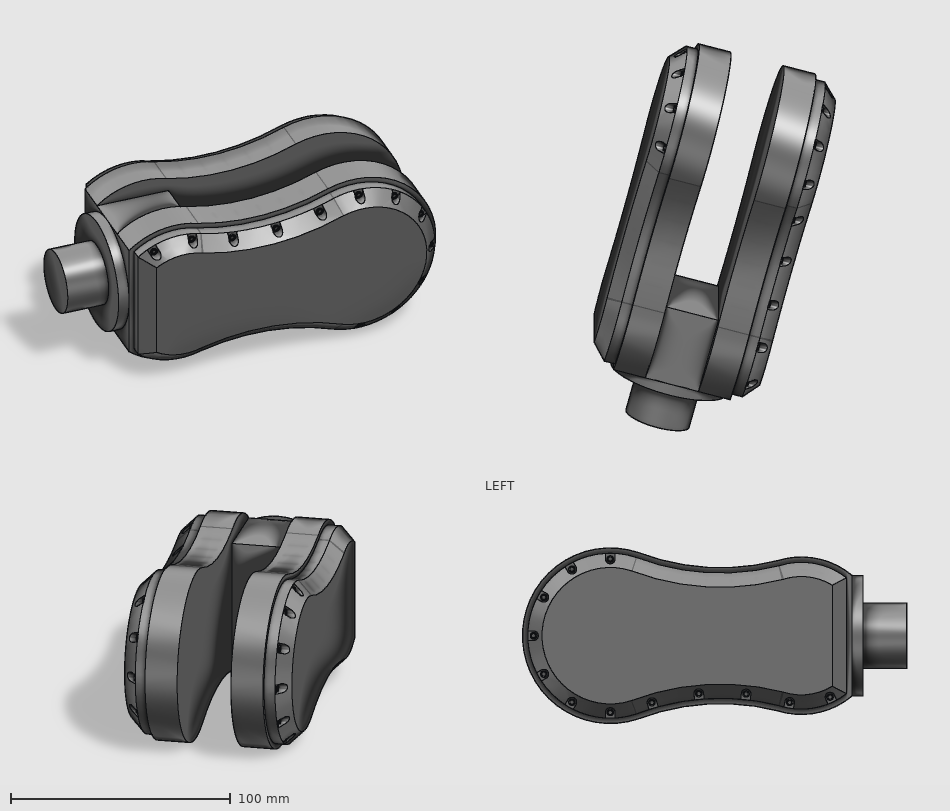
import cadquery as cq
import math

total_length = 175.0
total_width = 78.0
head_diameter = 80.0

body_width = 55.0
fork_gap = 25.0
web_length = 35.0
flange_diameter = body_width
flange_thickness = 5.0
shaft_diameter = 30.0
shaft_length = 20.0

lobe_radius = 35.9
lobe_center = 87.0
head_join = 12.8
lobe_join = 76.1
waist_middle = 50.0
waist_half_height = 31.0

cover_inset = 2.5
cover_wall = 5.0

screw_inset = 5.0
screw_head_diameter = 3.0
screw_head_height = 0.9
socket_diameter = 2.0
socket_depth = 0.5
pocket_reach = 2 * screw_inset
pocket_width = 4.4
head_screw_angles = [90, 120, 150, 180, 210, 240, 270]
waist_screw_angles = [-16.5, -5.2, 6]
lobe_screw_angles = [-10, 25]

head_radius = head_diameter / 2
tip = total_length - head_radius
flange_face = tip - shaft_length
body_end = flange_face - flange_thickness

cheek_face = body_width / 2
rim_level = cheek_face + cover_wall
cover_chamfer = total_width / 2 - rim_level


def circle_height(radius, offset):
    """Height of a circle above its centre line at an offset from its centre."""
    return math.sqrt(radius**2 - offset**2)


def circle_through(a, b, c):
    """Centre and radius of the circle through three points."""
    bx, by = b[0] - a[0], b[1] - a[1]
    cx, cy = c[0] - a[0], c[1] - a[1]
    spread = 2 * (bx * cy - by * cx)
    ux = (cy * (bx**2 + by**2) - by * (cx**2 + cy**2)) / spread
    uy = (bx * (cx**2 + cy**2) - cx * (bx**2 + by**2)) / spread
    return (a[0] + ux, a[1] + uy), math.hypot(ux, uy)


head_joint = (head_join, circle_height(head_radius, head_join))
waist_point = (waist_middle, waist_half_height)
lobe_joint = (lobe_join, circle_height(lobe_radius, lobe_center - lobe_join))
lobe_top = (lobe_center, lobe_radius)
end_corner = (body_end, circle_height(lobe_radius, body_end - lobe_center))
waist_center, waist_radius = circle_through(head_joint, waist_point, lobe_joint)


def cheek_outline(offset_x):
    """Closed cheek outline on a plane facing +X; it runs along -Y from the head centre."""

    def at(point, side=1):
        return (-point[0], side * point[1])

    return (
        cq.Workplane("YZ", origin=(offset_x, 0, 0))
        .moveTo(*at(end_corner))
        .threePointArc(at(lobe_top), at(lobe_joint))
        .threePointArc(at(waist_point), at(head_joint))
        .threePointArc((head_radius, 0), at(head_joint, -1))
        .threePointArc(at(waist_point, -1), at(lobe_joint, -1))
        .threePointArc(at(lobe_top, -1), at(end_corner, -1))
        .close()
    )


def make_fork():
    cheek_thickness = (body_width - fork_gap) / 2
    left_cheek = cheek_outline(-cheek_face).extrude(cheek_thickness)
    right_cheek = cheek_outline(fork_gap / 2).extrude(cheek_thickness)
    web = cq.Workplane("XY").box(fork_gap, web_length, body_width)
    web = web.translate((0, web_length / 2 - body_end, 0))
    flange = (
        cq.Workplane("XZ", origin=(0, -body_end, 0))
        .circle(flange_diameter / 2)
        .extrude(flange_thickness)
    )
    shaft = (
        cq.Workplane("XZ", origin=(0, -flange_face, 0))
        .circle(shaft_diameter / 2)
        .extrude(shaft_length)
    )
    return left_cheek.union(right_cheek).union(web).union(flange).union(shaft)


def screw_places():
    """(distance from head centre, height, direction of the outward normal) of each screw."""
    places = []
    for angle in head_screw_angles:
        radius = head_radius - screw_inset
        turn = math.radians(angle)
        places.append((radius * math.cos(turn), radius * math.sin(turn), angle))
    for angle in waist_screw_angles:
        radius = waist_radius + screw_inset
        turn = math.radians(angle)
        distance = waist_center[0] + radius * math.sin(turn)
        places.append((distance, waist_center[1] - radius * math.cos(turn), 90 + angle))
    for angle in lobe_screw_angles:
        radius = lobe_radius - screw_inset
        turn = math.radians(angle)
        distance = lobe_center + radius * math.sin(turn)
        places.append((distance, radius * math.cos(turn), 90 - angle))
    return places


def make_cover():
    """Cover on the +X cheek, with its waist and lobe screws along the top."""
    rim = cheek_outline(cheek_face).offset2D(-cover_inset).extrude(cover_wall + cover_chamfer)
    cover = rim.faces(">X").chamfer(cover_chamfer)
    for distance, height, normal in screw_places():
        seat = cq.Workplane("YZ", origin=(rim_level, -distance, height))
        pocket = seat.circle(pocket_width / 2).extrude(cover_chamfer)
        channel = (
            seat.center(-pocket_reach / 2, 0)
            .rect(pocket_reach, pocket_width)
            .extrude(cover_chamfer)
            .rotate((0, -distance, height), (1, -distance, height), -normal)
        )
        head = seat.circle(screw_head_diameter / 2).extrude(screw_head_height)
        socket = (
            seat.workplane(offset=screw_head_height - socket_depth)
            .circle(socket_diameter / 2)
            .extrude(socket_depth)
        )
        cover = cover.cut(pocket.union(channel)).union(head.cut(socket))
    return cover


right_cover = make_cover()
left_cover = right_cover.rotate((0, 0, 0), (0, 1, 0), 180)
result = make_fork().union(right_cover).union(left_cover)